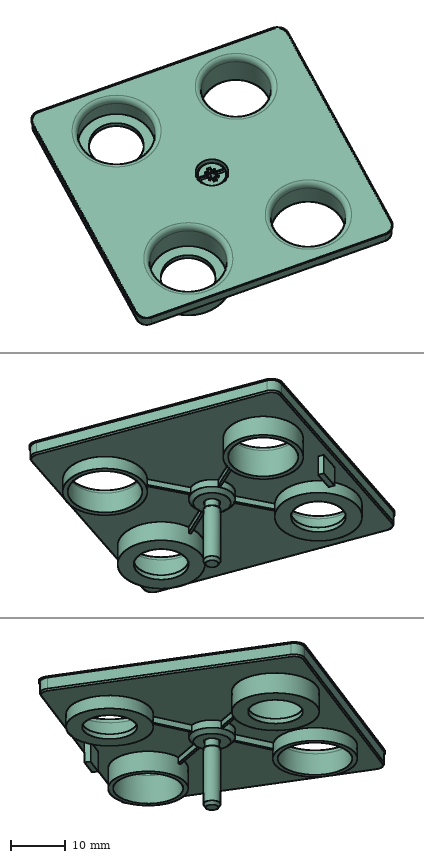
import cadquery as cq
import math

PLATE_SIDE = 51.4
CORNER_RADIUS = 2.2
PLATE_THICKNESS = 2.8
LIP_THICKNESS = 0.2
LIP_OVERHANG = 0.2
BOTTOM_CHAMFER_HEIGHT = 0.35
BOTTOM_CHAMFER_INSET = 0.2

MOUTH_RADIUS = 1.1
BOSS_WALL = 0.9
SHALLOW_BOSS = 5.4
DEEP_BOSS = 6.85
SHELF_THICKNESS = 1.0
SHELF_HOLE_DIAMETER = 10.1

SOCKETS = [
    (-16.25, 12.0, 12.85, DEEP_BOSS, False),
    (15.9, 12.3, 13.65, SHALLOW_BOSS, False),
    (-15.8, -12.25, 14.2, SHALLOW_BOSS, True),
    (16.15, -11.9, 14.2, DEEP_BOSS, True),
]

HUB_DIAMETER = 8.55
HUB_DEPTH = 5.15
HUB_CHAMFER = 0.8
RIB_DEPTH = 4.0
RIB_THICKNESS = 0.5
RIB_LENGTH = 13.35
SCREW_RECESS_DIAMETER = 6.0
SCREW_HOLE_DIAMETER = 3.0

BLOCK_OUTER_X = -23.9
BLOCK_THICKNESS = 1.2
BLOCK_WIDTH = 4.5

HEAD_DIAMETER = 5.55
HEAD_TOP = 0.6
HEAD_SEAT = 2.8
HEAD_CHAMFER = 0.2
NECK_DIAMETER = 2.7
SHAFT_DIAMETER = 3.2
SHAFT_START = 6.65
SCREW_END = 18.5
TIP_CHAMFER_HEIGHT = 0.65
TIP_CHAMFER_INSET = 0.4

SLOT_WIDTH = 0.7
SLOT_DEPTH = 0.4
CROSS_SPAN = 3.2
STAR_SPAN = 2.65
STAR_WIDTH = 0.3
DRIVE_DEPTH = 0.6
SOCKET_SIDE = 1.45
SOCKET_TAPER_DEPTH = 0.8
SOCKET_TAPER_ANGLE = 38.0


def cylinder(diameter, top, bottom, x=0.0, y=0.0):
    """Upright cylinder between two depths below the plate's top face."""
    disc = cq.Workplane("XY", origin=(x, y, -bottom)).circle(diameter / 2)
    return disc.extrude(bottom - top)


def centred_bar(length, width, top, bottom, angle=0.0):
    """Bar centred on the Z axis, its length turned by angle from X."""
    bar = cq.Workplane("XY", origin=(0, 0, -bottom)).rect(length, width).extrude(bottom - top)
    return bar.rotate((0, 0, 0), (0, 0, 1), angle)


def rounded_slab(side, corner, top, bottom):
    slab = cq.Workplane("XY", origin=(0, 0, -bottom)).rect(side, side).extrude(bottom - top)
    return slab.edges("|Z").fillet(corner)


def make_plate():
    lip = rounded_slab(PLATE_SIDE, CORNER_RADIUS, 0, LIP_THICKNESS)
    body_side = PLATE_SIDE - 2 * LIP_OVERHANG
    body = rounded_slab(body_side, CORNER_RADIUS - LIP_OVERHANG, LIP_THICKNESS, PLATE_THICKNESS)
    body = body.faces("<Z").chamfer(BOTTOM_CHAMFER_HEIGHT, BOTTOM_CHAMFER_INSET)
    return lip.union(body)


def make_hub():
    radius = HUB_DIAMETER / 2
    profile = [
        (0, -LIP_THICKNESS),
        (radius, -LIP_THICKNESS),
        (radius, HUB_CHAMFER - HUB_DEPTH),
        (radius - HUB_CHAMFER, -HUB_DEPTH),
        (0, -HUB_DEPTH),
    ]
    return cq.Workplane("XZ").polyline(profile).close().revolve()


def make_block():
    centre_x = BLOCK_OUTER_X + BLOCK_THICKNESS / 2
    base = cq.Workplane("XY", origin=(centre_x, 0, -DEEP_BOSS))
    return base.rect(BLOCK_THICKNESS, BLOCK_WIDTH).extrude(DEEP_BOSS - LIP_THICKNESS)


def mouth_cutter(x, y, bore):
    """Funnel that opens the bore with a convex quarter round up to the top face."""
    inner = bore / 2
    outer = inner + MOUTH_RADIUS
    diagonal = MOUTH_RADIUS * math.sqrt(0.5)
    profile = (
        cq.Workplane("XZ")
        .lineTo(outer, 0)
        .threePointArc((outer - diagonal, diagonal - MOUTH_RADIUS), (inner, -MOUTH_RADIUS))
        .lineTo(0, -MOUTH_RADIUS)
        .close()
    )
    return profile.revolve().translate((x, y, 0))


def make_cover():
    cover = make_plate().union(make_hub()).union(make_block())
    for angle in (45, 135):
        cover = cover.union(centred_bar(2 * RIB_LENGTH, RIB_THICKNESS, LIP_THICKNESS, RIB_DEPTH, angle))
    for x, y, bore, depth, _ in SOCKETS:
        cover = cover.union(cylinder(bore + 2 * BOSS_WALL, LIP_THICKNESS, depth, x, y))
    for x, y, bore, depth, has_shelf in SOCKETS:
        bore_end = depth - SHELF_THICKNESS if has_shelf else depth
        cover = cover.cut(cylinder(bore, 0, bore_end, x, y)).cut(mouth_cutter(x, y, bore))
        if has_shelf:
            cover = cover.cut(cylinder(SHELF_HOLE_DIAMETER, bore_end, depth, x, y))
    cover = cover.cut(cylinder(SCREW_RECESS_DIAMETER, 0, HEAD_SEAT))
    return cover.cut(cylinder(SCREW_HOLE_DIAMETER, HEAD_SEAT, HUB_DEPTH))


def make_drive_cutter():
    floor = HEAD_TOP + DRIVE_DEPTH
    cutter = centred_bar(HEAD_DIAMETER, SLOT_WIDTH, HEAD_TOP, HEAD_TOP + SLOT_DEPTH, 90)
    cutter = cutter.union(centred_bar(CROSS_SPAN, SLOT_WIDTH, HEAD_TOP, floor))
    for angle in (45, 135):
        cutter = cutter.union(centred_bar(STAR_SPAN, STAR_WIDTH, HEAD_TOP, floor, angle))
    socket = centred_bar(SOCKET_SIDE, SOCKET_SIDE, HEAD_TOP, floor, 45)
    point = cq.Workplane("XY", origin=(0, 0, -floor)).rect(SOCKET_SIDE, SOCKET_SIDE)
    point = point.extrude(-SOCKET_TAPER_DEPTH, taper=SOCKET_TAPER_ANGLE)
    point = point.rotate((0, 0, 0), (0, 0, 1), 45)
    return cutter.union(socket).union(point)


def make_screw():
    head = cylinder(HEAD_DIAMETER, HEAD_TOP, HEAD_SEAT).faces(">Z").chamfer(HEAD_CHAMFER)
    neck = cylinder(NECK_DIAMETER, HEAD_SEAT, SHAFT_START)
    shaft = cylinder(SHAFT_DIAMETER, SHAFT_START, SCREW_END)
    shaft = shaft.faces("<Z").chamfer(TIP_CHAMFER_HEIGHT, TIP_CHAMFER_INSET)
    return head.union(neck).union(shaft).cut(make_drive_cutter())


cover = make_cover()
screw = make_screw()

result = cq.Compound.makeCompound([cover.val(), screw.val()])